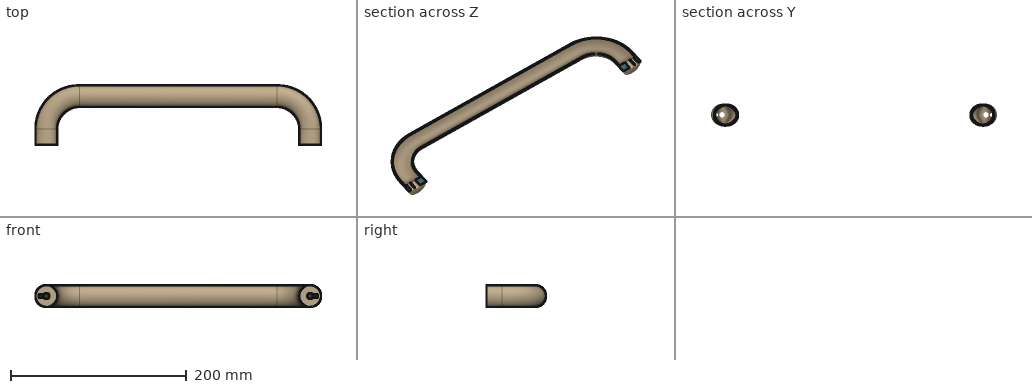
import cadquery as cq

hole_spacing = 300.0
tube_diameter = 25.0
overall_reach = 68.0
bend_radius = 37.5
wall_thickness = 2.0
plug_length = 10.0
screw_hole_diameter = 6.0
pin_hole_diameter = 4.0
pin_hole_offset = 6.5
hole_chamfer = 0.5

leg_x = hole_spacing / 2
grip_y = overall_reach - tube_diameter / 2
leg_length = grip_y - bend_radius
bore_diameter = tube_diameter - 2 * wall_thickness


def handle_rod(diameter, start_y):
    """Round rod along the handle's U-shaped axis, with both legs starting at start_y."""
    path = (
        cq.Workplane("XY")
        .moveTo(-leg_x, start_y)
        .lineTo(-leg_x, leg_length)
        .radiusArc((-leg_x + bend_radius, grip_y), bend_radius)
        .lineTo(leg_x - bend_radius, grip_y)
        .radiusArc((leg_x, leg_length), bend_radius)
        .lineTo(leg_x, start_y)
    )
    section = cq.Workplane("XZ", origin=(-leg_x, start_y, 0)).circle(diameter / 2)
    return section.sweep(path)


def mounting_hole(x, diameter):
    """Cutter for a round hole through a plug, chamfered at the mounting face."""
    hole = cq.Workplane("XZ", origin=(x, 0, 0)).circle(diameter / 2).extrude(-plug_length)
    countersink = (
        cq.Workplane("XZ", origin=(x, 0, 0))
        .circle(diameter / 2 + hole_chamfer)
        .workplane(offset=-hole_chamfer)
        .circle(diameter / 2)
        .loft()
    )
    return hole.union(countersink)


result = handle_rod(tube_diameter, 0).cut(handle_rod(bore_diameter, plug_length))

for side in (-1, 1):
    result = result.cut(mounting_hole(side * leg_x, screw_hole_diameter))
    result = result.cut(mounting_hole(side * (leg_x + pin_hole_offset), pin_hole_diameter))